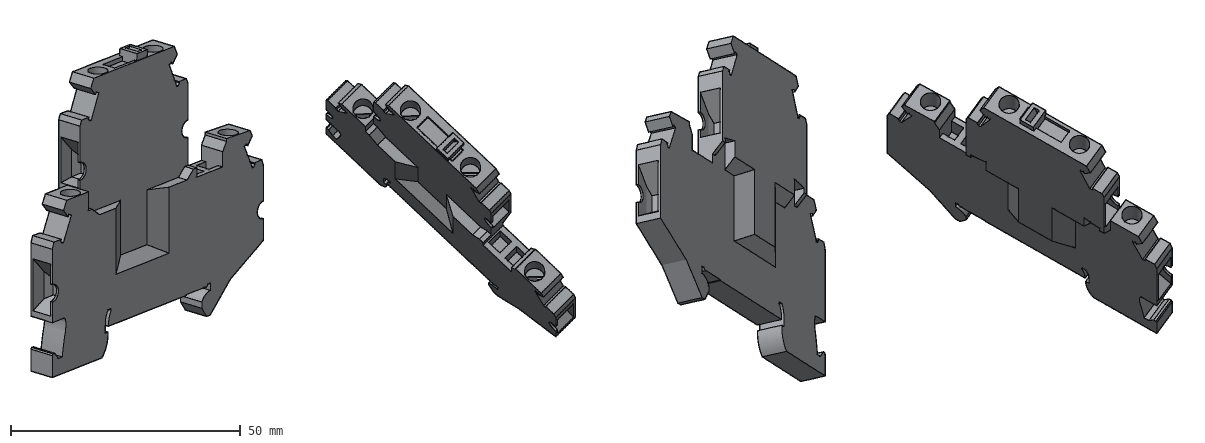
import cadquery as cq
import math


LENGTH = 69.9
HEIGHT = 65.95
SLAB = 6.2
OFFSET = 2.52
LOWER_END = LENGTH / 2

UPPER_CENTRE = -5.02
UPPER_HALF = 17.89
UPPER_BACK = UPPER_CENTRE + UPPER_HALF
UPPER_FRONT = UPPER_CENTRE - UPPER_HALF

CLEARANCE = 1.0

UPPER_LEDGE = 55.7
LOWER_LEDGE = 31.35
CAP_RISE = 8.61
UPPER_CORNER_DROP, LOWER_CORNER_DROP = 1.25, 1.55
REAR_CAP_RISE = 7.95
TIP_INSET, TIP_RISE = 3.57, 6.5
CAP_SLOPE = 0.474
LOWER_LEAN = 1.5
UPPER_TOP = UPPER_LEDGE + CAP_RISE

VALLEY_FLOOR = 33.28
JOINT_LOW = 33.5
JOINT_HIGH = 35.45
JOINT_HALF = 12.7
NOTCH_OUTER_HALF = 16.75
NOTCH_OUTER_TOP, NOTCH_INNER_TOP = 39.05, 39.8

COLUMN_CENTRE = -5.1
COLUMN_HALF_TIP = 4.33
COLUMN_HALF_ROOT = 8.8
COLUMN_TIP_BOTTOM = 20.77
COLUMN_ROOT_BOTTOM = 18.15
COLUMN_TOP = 45.0

SCREW_SPACING_UPPER = 9.12
SCREW_SPACING_LOWER = 26.1
SCREW_X = 3.7
SCREW_DIAMETER = 4.4
SCREW_DEPTH = 6.0
SLOT_WIDTH = 0.7
SLOT_DEPTH = 1.0
SLOT_ANGLE = -45

ENTRY_LEFT, ENTRY_RIGHT = 0.65, 5.65
THROAT_LEFT, THROAT_RIGHT = 1.97, 5.25
ENTRY_HEIGHT = 12.07
ENTRY_TOP_DROP = 5.1
THROAT_DROP = 5.6
THROAT_HEIGHT = 3.9
KNEE_DEPTH, THROAT_DEPTH = 3.57, 5.1
WIRE_NOTCH_RADIUS = 2.05
WIRE_NOTCH_DROP = 6.7

POCKET_X, POCKET_WIDTH = 3.83, 3.6
POCKET_DEPTH = 5.0
POCKET_SPANS = [(18.3, 21.42), (13.3, 16.7)]

GUIDE_X = (1.97, 5.4)
GUIDE_Y = (-10.5, 0.25)
GUIDE_DEPTH = 1.0
SLIDER_X = (1.05, 6.05)
SLIDER_BACK = -0.45
SLIDER_FRONT_TOP = -3.85
SLIDER_FRONT_BOTTOM = -4.0
GRIP_X = (1.75, 5.25)
GRIP_Y = (-2.7, -1.4)
GRIP_DEPTH = 2.5


def box(x_span, y_span, z_span):
    """Box between pairs of limits."""
    size = [max(s) - min(s) for s in (x_span, y_span, z_span)]
    corner = [min(s) for s in (x_span, y_span, z_span)]
    return cq.Workplane("XY").box(*size, centered=False).translate(tuple(corner))


def plate(points, x_start, thickness):
    """Plate with a straight-sided (Y, Z) outline, extruded in +X."""
    return cq.Workplane("YZ", origin=(x_start, 0, 0)).polyline(points).close().extrude(thickness)


def ruled_solid(sections):
    """Solid with flat faces through a series of polygonal sections."""
    wires = [cq.Wire.makePolygon([cq.Vector(*p) for p in s], close=True) for s in sections]
    return cq.Workplane(obj=cq.Solid.makeLoft(wires, True))


def terminal_end(end_y, inward, ledge_z, cap_rise, corner_drop, lean):
    """(Y, Z) outline of one terminal end, from its outer corner up to the cap top.

    Each point is an inset from the end face and a height above the ledge.
    """
    cap_inset = TIP_INSET + CAP_SLOPE * (cap_rise - TIP_RISE)
    corner = [(0, -corner_drop)]
    hook = [
        (0.57, 0), (3.05, 0), (2.85, -0.35), (3.25, -0.9), (3.72, -0.95),
        (6.22, 4.8), (5.45, 5.15), (5.12, 4.65),
        (TIP_INSET, TIP_RISE), (cap_inset, cap_rise),
    ]
    pivot_inset = hook[0][0]
    cos_lean = math.cos(math.radians(lean))
    sin_lean = math.sin(math.radians(lean))
    leaning = [
        (
            pivot_inset + (u - pivot_inset) * cos_lean + v * sin_lean,
            v * cos_lean - (u - pivot_inset) * sin_lean,
        )
        for u, v in hook
    ]
    return [(end_y + inward * u, ledge_z + v) for u, v in corner + leaning]


def lower_tier():
    rear_end = terminal_end(LOWER_END, -1, LOWER_LEDGE, REAR_CAP_RISE, LOWER_CORNER_DROP, LOWER_LEAN)
    front_end = terminal_end(-LOWER_END, 1, LOWER_LEDGE, CAP_RISE, LOWER_CORNER_DROP, LOWER_LEAN)
    front_cap_z = front_end[-1][1]
    rear_cap_back = [(22.67, 39.5), (22.67, 38.85), (21.42, 36.8), (21.42, VALLEY_FLOOR)]
    saddle = [
        (UPPER_BACK, VALLEY_FLOOR), (UPPER_BACK, JOINT_HIGH), (UPPER_CENTRE + NOTCH_OUTER_HALF, JOINT_HIGH),
        (9.65, JOINT_LOW), (-19.25, JOINT_LOW),
        (UPPER_CENTRE - NOTCH_OUTER_HALF, JOINT_HIGH), (UPPER_FRONT, JOINT_HIGH), (UPPER_FRONT, front_cap_z),
    ]
    outline = cq.Workplane("YZ", origin=(OFFSET, 0, 0)).polyline(
        rear_end + rear_cap_back + saddle + front_end[::-1]
    )
    outline = (
        outline.lineTo(-LOWER_END, 12.75)
        .lineTo(-30.9, 12.75)
        .threePointArc((-30.55, 12.1), (-30.45, 11.25))
        .threePointArc((-30.48, 10.4), (-30.6, 9.5))
        .threePointArc((-31.15, 7.0), (-31.65, 3.9))
        .lineTo(-32.9, 3.9)
        .lineTo(-34.15, 5.45)
        .lineTo(-34.7, 5.45)
        .lineTo(-LOWER_END, 5.1)
        .lineTo(-LOWER_END, 0)
        .lineTo(-18.5, 0)
        .threePointArc((-17.0, 2.3), (-16.5, 5.45))
    )
    outline = (
        outline.lineTo(-17.4, 5.45)
        .lineTo(-17.4, 7.8)
        .threePointArc((-17.15, 9.25), (-16.45, 10.6))
        .lineTo(-15.6, 10.6)
        .lineTo(-15.45, 10.2)
        .threePointArc((-16.2, 8.4), (-16.4, 6.75))
    )
    outline = (
        outline.lineTo(9.5, 6.75)
        .lineTo(9.5, 6.95)
        .lineTo(15.65, 6.95)
        .lineTo(15.95, 6.8)
        .lineTo(16.6, 7.4)
        .lineTo(17.3, 7.4)
        .lineTo(17.3, 5.75)
        .threePointArc((15.55, 5.05), (14.5, 3.8))
        .lineTo(14.5, 2.35)
        .lineTo(16.1, 0)
        .lineTo(17.3, 0)
        .lineTo(24.0, 6.5)
        .lineTo(LOWER_END, 12.5)
        .close()
    )
    return outline.extrude(SLAB)


def upper_tier():
    rear_end = terminal_end(UPPER_BACK, -1, UPPER_LEDGE, CAP_RISE, UPPER_CORNER_DROP, 0)
    front_end = terminal_end(UPPER_FRONT, 1, UPPER_LEDGE, CAP_RISE, UPPER_CORNER_DROP, 0)
    outline = rear_end + front_end[::-1] + [(UPPER_FRONT, VALLEY_FLOOR), (UPPER_BACK, VALLEY_FLOOR)]
    return plate(outline, 0, SLAB)


def overhang_trim(y_span, root_z):
    """Material removed under the overhanging side, leaving a 45 degree underside."""
    below = VALLEY_FLOOR - CLEARANCE
    section = [(0, below), (OFFSET, below), (OFFSET, root_z), (0, root_z + OFFSET)]
    length = y_span[1] - y_span[0]
    return cq.Workplane("XZ", origin=(0, y_span[1], 0)).polyline(section).close().extrude(length)


def side_notch(side):
    """Open notch in the overhang near one end, with a slanting top edge."""
    outer = UPPER_CENTRE + side * NOTCH_OUTER_HALF
    inner = UPPER_CENTRE + side * JOINT_HALF
    points = [
        (outer, VALLEY_FLOOR), (outer, NOTCH_OUTER_TOP),
        (inner, NOTCH_INNER_TOP), (inner, VALLEY_FLOOR),
    ]
    return plate(points, 0, OFFSET)


def column(x_start):
    """Tapered column that is narrow at x_start and wide one OFFSET further in +X."""
    def section(x, half, bottom):
        low_y, high_y = COLUMN_CENTRE - half, COLUMN_CENTRE + half
        return [(x, low_y, bottom), (x, high_y, bottom), (x, high_y, COLUMN_TOP), (x, low_y, COLUMN_TOP)]

    return ruled_solid([
        section(x_start, COLUMN_HALF_TIP, COLUMN_TIP_BOTTOM),
        section(x_start + OFFSET, COLUMN_HALF_ROOT, COLUMN_ROOT_BOTTOM),
    ])


def screw_hole(tier_x, y, cap_z):
    """Round well with a slotted screw head at its bottom."""
    centre = (tier_x + SCREW_X, y, cap_z - SCREW_DEPTH)
    well = cq.Workplane("XY").circle(SCREW_DIAMETER / 2).extrude(SCREW_DEPTH + CLEARANCE)
    slot = cq.Workplane("XY").rect(SCREW_DIAMETER, SLOT_WIDTH).extrude(-SLOT_DEPTH)
    slot = slot.rotate((0, 0, 0), (0, 0, 1), SLOT_ANGLE)
    head_limit = cq.Workplane("XY").circle(SCREW_DIAMETER / 2).extrude(-SLOT_DEPTH)
    return well.union(slot.intersect(head_limit)).translate(centre)


def wire_entry(tier_x, end_y, inward, ledge_z, sill_z):
    """Funnel into an end face, with a round notch through the +X wall.

    The mouth never opens below sill_z.
    """
    top = ledge_z - ENTRY_TOP_DROP
    bottom = top - ENTRY_HEIGHT
    throat_bottom = top - THROAT_DROP - THROAT_HEIGHT
    knee_share = KNEE_DEPTH / THROAT_DEPTH
    knee_bottom = bottom + knee_share * (throat_bottom - bottom)
    knee_top = top - knee_share * THROAT_DROP

    def section(depth, left, right, low_z, high_z):
        y = end_y + inward * depth
        x0, x1 = tier_x + left, tier_x + right
        return [(x0, y, low_z), (x1, y, low_z), (x1, y, high_z), (x0, y, high_z)]

    mouth = section(0, ENTRY_LEFT, ENTRY_RIGHT, max(bottom, sill_z), top)
    knee = section(KNEE_DEPTH, ENTRY_LEFT, ENTRY_RIGHT, knee_bottom, knee_top)
    throat = section(THROAT_DEPTH, THROAT_LEFT, THROAT_RIGHT, throat_bottom, top - THROAT_DROP)
    notch = (
        cq.Workplane("YZ", origin=(tier_x + THROAT_RIGHT, end_y, top - WIRE_NOTCH_DROP))
        .circle(WIRE_NOTCH_RADIUS)
        .extrude(SLAB - THROAT_RIGHT)
    )
    return ruled_solid([mouth, knee]).union(ruled_solid([knee, throat])).union(notch)


def guide_slot():
    return box(GUIDE_X, GUIDE_Y, (UPPER_TOP - GUIDE_DEPTH, UPPER_TOP))


def slider():
    """Sliding link with a wedge-shaped finger grip, seated in the guide slot."""
    guide_floor = UPPER_TOP - GUIDE_DEPTH
    lean_per_height = (SLIDER_FRONT_TOP - SLIDER_FRONT_BOTTOM) / (HEIGHT - UPPER_TOP)
    front_at_floor = SLIDER_FRONT_BOTTOM - lean_per_height * GUIDE_DEPTH
    profile = [
        (SLIDER_BACK, guide_floor), (SLIDER_BACK, HEIGHT),
        (SLIDER_FRONT_TOP, HEIGHT), (front_at_floor, guide_floor),
    ]
    tongue = plate(profile, GUIDE_X[0], GUIDE_X[1] - GUIDE_X[0])
    block_limits = box(SLIDER_X, (front_at_floor, SLIDER_BACK), (UPPER_TOP, HEIGHT))
    block = plate(profile, SLIDER_X[0], SLIDER_X[1] - SLIDER_X[0]).intersect(block_limits)
    grip_profile = [(GRIP_Y[1], HEIGHT), (GRIP_Y[0], HEIGHT - GRIP_DEPTH), (GRIP_Y[0], HEIGHT)]
    grip = plate(grip_profile, GRIP_X[0], GRIP_X[1] - GRIP_X[0])
    return block.union(tongue).cut(grip)


upper = upper_tier()
joint_front = UPPER_CENTRE - JOINT_HALF
joint_back = UPPER_CENTRE + JOINT_HALF
upper = upper.cut(overhang_trim((joint_front, joint_back), JOINT_LOW))
upper = upper.cut(overhang_trim((UPPER_FRONT, joint_front), JOINT_HIGH))
upper = upper.cut(overhang_trim((joint_back, UPPER_BACK), JOINT_HIGH))
for side in (-1, 1):
    upper = upper.cut(side_notch(side))

body = lower_tier().union(upper).union(column(0))
body = body.cut(column(SLAB))

upper_sill = LOWER_LEDGE + CAP_RISE
for side in (-1, 1):
    upper_screw_y = UPPER_CENTRE + side * SCREW_SPACING_UPPER
    upper_end = UPPER_CENTRE + side * UPPER_HALF
    lower_cap = LOWER_LEDGE + (CAP_RISE if side < 0 else REAR_CAP_RISE)
    body = body.cut(screw_hole(0, upper_screw_y, UPPER_TOP))
    body = body.cut(screw_hole(OFFSET, side * SCREW_SPACING_LOWER, lower_cap))
    body = body.cut(wire_entry(0, upper_end, -side, UPPER_LEDGE, upper_sill))
    body = body.cut(wire_entry(OFFSET, side * LOWER_END, -side, LOWER_LEDGE, 0))

for y_span in POCKET_SPANS:
    pocket_x = (POCKET_X, POCKET_X + POCKET_WIDTH)
    body = body.cut(box(pocket_x, y_span, (VALLEY_FLOOR - POCKET_DEPTH, VALLEY_FLOOR)))

result = body.cut(guide_slot()).union(slider()).clean()